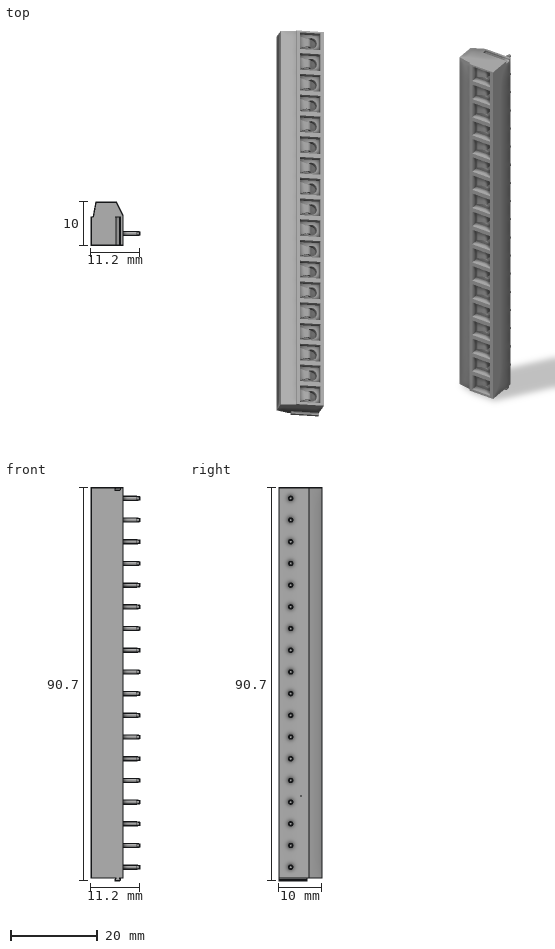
import cadquery as cq

TOTAL_HEIGHT = 90.7
TOTAL_DEPTH = 11.2

TERMINAL_COUNT = 18
BODY_HEIGHT = 90.0
PITCH = BODY_HEIGHT / TERMINAL_COUNT
BODY_DEPTH = 7.3
BODY_WIDTH = 10.0
STEP_Y = 6.5
STEP_DEPTH = 0.45
SHOULDER_Y = 6.9
CROWN_X_MIN = 1.1
CROWN_X_MAX = 5.8

RAIL_X_MIN = 5.7
RAIL_X_MAX = 6.5
RAIL_LIP_X_MIN = 5.5
RAIL_LIP_X_MAX = 6.8
RAIL_LIP_DROP = 0.4
RAIL_HEIGHT = TOTAL_HEIGHT - BODY_HEIGHT

TERMINAL_OFFSET = 0.1
WINDOW_Y_MIN = 0.8
WINDOW_Y_MAX = 5.7
WINDOW_HEIGHT = 4.0
WINDOW_DEPTH = 1.6
LEAF_THICKNESS = 0.4
LEAF_BEVEL = 0.5
LEAF_ROOT_HEIGHT = 3.1
LEAF_NECK_HEIGHT = 1.8
LEAF_NECK_Y = 3.9
LEAF_TIP_Y = 2.7
LEAF_BEND_RADIUS = 0.8
HOLE_RADIUS = 1.3
HOLE_Y = 2.6
HOLE_DEPTH = 1.4

PIN_DIAMETER = 1.0
PIN_TIP_DIAMETER = 0.7
PIN_TIP_LENGTH = 0.8
PIN_LENGTH = TOTAL_DEPTH - BODY_DEPTH
PIN_Y = 2.7
PIN_ROOT = 0.45


def make_housing():
    outline = [
        (0, 0),
        (BODY_DEPTH, 0),
        (BODY_DEPTH, SHOULDER_Y),
        (CROWN_X_MAX, BODY_WIDTH),
        (CROWN_X_MIN, BODY_WIDTH),
        (STEP_DEPTH, STEP_Y),
        (0, STEP_Y),
    ]
    return cq.Workplane("XY").polyline(outline).close().extrude(BODY_HEIGHT)


def make_rail(root_z, root_x_max):
    """Hooked rail that hangs from root_z and runs along Y; its root ends at root_x_max."""
    lip_z = root_z - RAIL_LIP_DROP
    end_z = root_z - RAIL_HEIGHT
    section = [
        (RAIL_X_MIN, root_z),
        (root_x_max, root_z),
        (RAIL_LIP_X_MAX, lip_z),
        (RAIL_X_MAX, end_z),
        (RAIL_LIP_X_MIN, end_z),
        (RAIL_LIP_X_MIN, lip_z),
    ]
    return cq.Workplane("XZ").polyline(section).close().extrude(-STEP_Y)


def make_window(z):
    """Rectangular recess with the round clamp hole in its floor."""
    width = WINDOW_Y_MAX - WINDOW_Y_MIN
    recess = cq.Workplane("XY").box(WINDOW_DEPTH, width, WINDOW_HEIGHT, centered=(False, False, True))
    hole = cq.Workplane("YZ").center(HOLE_Y, 0).circle(HOLE_RADIUS).extrude(WINDOW_DEPTH + HOLE_DEPTH)
    return recess.translate((0, WINDOW_Y_MIN, 0)).union(hole).translate((0, 0, z))


def make_leaf(z):
    """Raised spring leaf, bevelled at its root and bent down into the clamp hole."""
    top_x = WINDOW_DEPTH - LEAF_THICKNESS
    bottom_x = WINDOW_DEPTH + HOLE_DEPTH
    side = (
        cq.Workplane("XY")
        .moveTo(bottom_x, WINDOW_Y_MAX)
        .lineTo(WINDOW_DEPTH, WINDOW_Y_MAX)
        .lineTo(top_x, WINDOW_Y_MAX - LEAF_BEVEL)
        .lineTo(top_x, LEAF_TIP_Y + LEAF_BEND_RADIUS)
        .radiusArc((top_x + LEAF_BEND_RADIUS, LEAF_TIP_Y), -LEAF_BEND_RADIUS)
        .lineTo(bottom_x, LEAF_TIP_Y)
        .close()
        .extrude(LEAF_ROOT_HEIGHT / 2, both=True)
    )
    face = [
        (LEAF_TIP_Y, -LEAF_NECK_HEIGHT / 2),
        (LEAF_NECK_Y, -LEAF_NECK_HEIGHT / 2),
        (WINDOW_Y_MAX, -LEAF_ROOT_HEIGHT / 2),
        (WINDOW_Y_MAX, LEAF_ROOT_HEIGHT / 2),
        (LEAF_NECK_Y, LEAF_NECK_HEIGHT / 2),
        (LEAF_TIP_Y, LEAF_NECK_HEIGHT / 2),
    ]
    plan = cq.Workplane("YZ").polyline(face).close().extrude(bottom_x)
    return side.intersect(plan).translate((0, 0, z))


def make_pin(z):
    """Round pin with a tapered tip, pointing along +X."""
    radius = PIN_DIAMETER / 2
    profile = [
        (-PIN_ROOT, 0),
        (-PIN_ROOT, radius),
        (PIN_LENGTH - PIN_TIP_LENGTH, radius),
        (PIN_LENGTH, PIN_TIP_DIAMETER / 2),
        (PIN_LENGTH, 0),
    ]
    pin = cq.Workplane("XY").polyline(profile).close().revolve(360, (0, 0, 0), (1, 0, 0))
    return pin.translate((BODY_DEPTH, PIN_Y, z))


rail = make_rail(0, RAIL_X_MAX)
slot = make_rail(BODY_HEIGHT, RAIL_LIP_X_MAX)
result = make_housing().cut(slot).union(rail)

for index in range(TERMINAL_COUNT):
    cell_middle_z = (index + 0.5) * PITCH
    terminal_z = cell_middle_z + TERMINAL_OFFSET
    result = result.cut(make_window(terminal_z))
    result = result.union(make_leaf(terminal_z))
    result = result.union(make_pin(cell_middle_z))